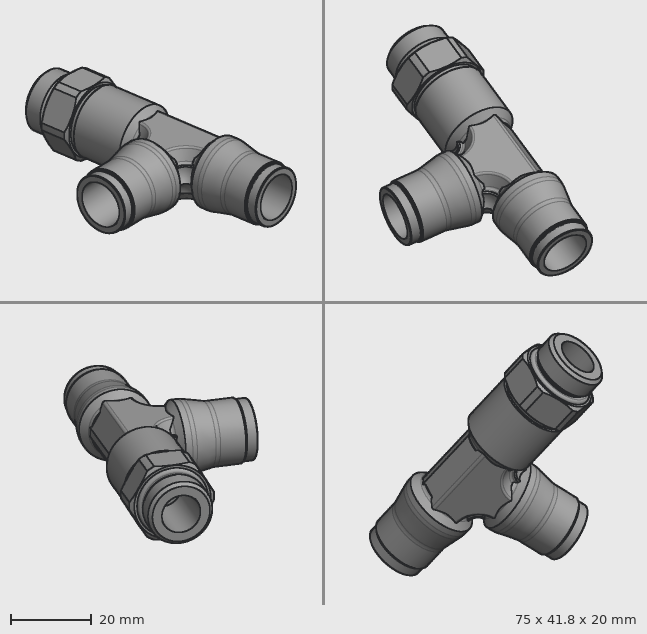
import cadquery as cq
import math


branch_x = 44.0
run_port_length = 31.0
branch_port_length = 30.8

body_half_height = 7.6
body_back = 7.5
back_ridge_y = 3.8
wall_slope = math.radians(60)
ridge_radius = 1.0
crotch_offset = 10.6
crotch_bar_radius = 1.6
crotch_bar_top_radius = 3.4
crotch_bar_half_height = 3.8
crotch_ledge_radius = 3.9
crotch_ledge_height = 4.0
crotch_foot_round = 0.9
crotch_edge_round = 0.75
crotch_top_radius = 7.45
cut_margin = 1.0

neck_radius = 7.4
shoulder_radius = 9.65
shoulder_blend = 1.5
shoulder_angle = math.radians(45)

collet_radius = 7.85
collet_length = 2.8
collet_chamfer = 0.2
collet_gap = 0.3
collet_gap_radius = 7.5
sleeve_end = 9.9
flare_blend_length = 1.2
flare_cone_length = 5.2
flare_angle = math.radians(12)
flare_blend_rise = flare_blend_length * math.tan(flare_angle / 2)
flare_cone_rise = flare_cone_length * math.tan(flare_angle)
sleeve_radius = shoulder_radius - flare_cone_rise - 2 * flare_blend_rise
sleeve_chamfer = 0.2
shoulder_edge = 19.25

body_start = 17.4
body_chamfer = 0.25
body_end = branch_x - 11.8
hex_start = 7.5
hex_end = 16.1
hex_sides = 6
hex_flats = 20.0
hex_corner_radius = 11.0
hex_crown_radius = 9.9
hex_crown_angle = math.radians(30)
spigot_radius = 8.35
spigot_chamfer = 0.9
spigot_end = 5.4
relief_radius = 7.6
relief_start = spigot_end + spigot_radius - relief_radius
relief_end = 6.6
seal_radius = 9.2
seal_round = hex_start - relief_end

through_diameter = 7.6
male_bore_diameter = 10.0
male_bore_depth = hex_end
tube_diameter = 12.1
tube_depth = 18.0


def revolve_about_x(profile):
    return profile.close().revolve(360, (0, 0, 0), (1, 0, 0))


def shoulder_profile(profile, edge, direction):
    """Continue a profile at the shoulder edge, down the cone to the neck and axis.

    direction is the sign of X from the shoulder toward the body.
    """
    cone_run = (shoulder_radius - neck_radius) / math.tan(shoulder_angle)
    corner = edge + direction * cone_run
    tangent = shoulder_blend * math.tan(shoulder_angle / 2)
    neck_start = corner + direction * tangent
    blend_start = corner - direction * tangent * math.cos(shoulder_angle)
    blend_start_radius = neck_radius + tangent * math.sin(shoulder_angle)
    return (
        profile
        .lineTo(blend_start, blend_start_radius)
        .tangentArcPoint((neck_start, neck_radius), relative=False)
        .lineTo(neck_start, 0)
    )


def push_in_port(length):
    """Port along +X with its collet face at X = length."""
    gap_start = length - collet_length
    gap_end = gap_start - collet_gap
    flare_start = length - sleeve_end
    cone_start = flare_start - flare_blend_length
    cone_end = cone_start - flare_cone_length
    cone_start_radius = sleeve_radius + flare_blend_rise
    cone_end_radius = cone_start_radius + flare_cone_rise
    profile = (
        cq.Workplane("XY")
        .moveTo(length, 0)
        .lineTo(length, collet_radius - collet_chamfer)
        .lineTo(length - collet_chamfer, collet_radius)
        .lineTo(gap_start, collet_radius)
        .lineTo(gap_start, collet_gap_radius)
        .lineTo(gap_end, collet_gap_radius)
        .lineTo(gap_end, sleeve_radius - sleeve_chamfer)
        .lineTo(gap_end - sleeve_chamfer, sleeve_radius)
        .lineTo(flare_start, sleeve_radius)
        .tangentArcPoint((cone_start, cone_start_radius), relative=False)
        .lineTo(cone_end, cone_end_radius)
        .tangentArcPoint((cone_end - flare_blend_length, shoulder_radius), relative=False)
        .lineTo(length - shoulder_edge, shoulder_radius)
    )
    return revolve_about_x(shoulder_profile(profile, length - shoulder_edge, -1))


def hexagon():
    """Nut hexagon with flats at +Z and -Z, its corners turned and crowned."""
    length = hex_end - hex_start
    across_corners = hex_flats / math.cos(math.pi / hex_sides)
    prism = (
        cq.Workplane("YZ", origin=(hex_start, 0, 0))
        .polygon(hex_sides, across_corners)
        .extrude(length)
    )
    crown_height = hex_corner_radius - hex_crown_radius
    crown_length = crown_height * math.tan(hex_crown_angle)
    envelope = revolve_about_x(
        cq.Workplane("XY")
        .moveTo(hex_start, 0)
        .lineTo(hex_start, hex_crown_radius)
        .lineTo(hex_start + crown_length, hex_corner_radius)
        .lineTo(hex_end - crown_length, hex_corner_radius)
        .lineTo(hex_end, hex_crown_radius)
        .lineTo(hex_end, 0)
    )
    return prism.intersect(envelope)


def male_end():
    """Spigot, seal and cylindrical body, all turned about X."""
    profile = (
        cq.Workplane("XY")
        .moveTo(0, 0)
        .lineTo(0, spigot_radius - spigot_chamfer)
        .lineTo(spigot_chamfer, spigot_radius)
        .lineTo(spigot_end, spigot_radius)
        .lineTo(relief_start, relief_radius)
        .lineTo(relief_end, relief_radius)
        .lineTo(relief_end, seal_radius - seal_round)
        .radiusArc((hex_start, seal_radius), seal_round)
        .lineTo(body_start - body_chamfer, seal_radius)
        .lineTo(body_start, shoulder_radius)
        .lineTo(body_end, shoulder_radius)
    )
    turned = revolve_about_x(shoulder_profile(profile, body_end, 1))
    return turned.union(hexagon())


def crotch_cutter(side):
    """Turned cutter that hollows the corner between run and side port."""
    top = body_half_height + cut_margin
    bar_depth = crotch_bar_top_radius - crotch_bar_radius
    bar_arc_radius = (bar_depth ** 2 + crotch_bar_half_height ** 2) / (2 * bar_depth)

    run_per_radius = math.sin(wall_slope)
    rise_per_radius = 1 - math.cos(wall_slope)
    wall_top_radius = crotch_top_radius - crotch_edge_round * run_per_radius
    wall_top_height = body_half_height - crotch_edge_round * rise_per_radius
    wall_foot_height = crotch_ledge_height + crotch_foot_round * rise_per_radius
    wall_run = (wall_top_height - wall_foot_height) / math.tan(wall_slope)
    wall_foot_radius = wall_top_radius - wall_run
    ledge_end_radius = wall_foot_radius - crotch_foot_round * run_per_radius

    upper_half = (
        cq.Workplane("XZ")
        .moveTo(0, 0)
        .lineTo(crotch_bar_radius, 0)
        .radiusArc((crotch_bar_top_radius, crotch_bar_half_height), -bar_arc_radius)
        .lineTo(crotch_ledge_radius, crotch_ledge_height)
        .lineTo(ledge_end_radius, crotch_ledge_height)
        .tangentArcPoint((wall_foot_radius, wall_foot_height), relative=False)
        .lineTo(wall_top_radius, wall_top_height)
        .tangentArcPoint((crotch_top_radius, body_half_height), relative=False)
        .lineTo(crotch_top_radius, top)
        .lineTo(0, top)
        .close()
        .revolve(360, (0, 0, 0), (0, 1, 0))
    )
    cutter = upper_half.union(upper_half.mirror("XY"))
    return cutter.translate((branch_x + side * crotch_offset, -crotch_offset, 0))


def centre_body():
    """Flat-sided block joining the three ends, sloped at the back."""
    back_drop = (body_back - back_ridge_y) * math.tan(wall_slope)
    back_half_height = body_half_height - back_drop
    block = (
        cq.Workplane("YZ", origin=(branch_x - crotch_offset, 0, 0))
        .moveTo(-crotch_offset, -body_half_height)
        .lineTo(back_ridge_y, -body_half_height)
        .lineTo(body_back, -back_half_height)
        .lineTo(body_back, back_half_height)
        .lineTo(back_ridge_y, body_half_height)
        .lineTo(-crotch_offset, body_half_height)
        .close()
        .extrude(2 * crotch_offset)
    )
    for height in (-body_half_height, body_half_height):
        ridge = cq.selectors.NearestToPointSelector((branch_x, back_ridge_y, height))
        block = block.edges("|X").edges(ridge).fillet(ridge_radius)
    for side in (-1, 1):
        block = block.cut(crotch_cutter(side))
    return block


def bore_along_x(diameter, start, end):
    return (
        cq.Workplane("YZ", origin=(start, 0, 0))
        .circle(diameter / 2)
        .extrude(end - start)
    )


def port_bore(length):
    """Flow passage and tube socket of a port along +X."""
    passage = bore_along_x(through_diameter, 0, length)
    return passage.union(bore_along_x(tube_diameter, length - tube_depth, length))


def place_run(shape):
    return shape.translate((branch_x, 0, 0))


def place_branch(shape):
    return place_run(shape.rotate((0, 0, 0), (0, 0, 1), -90))


result = (
    centre_body()
    .union(male_end())
    .union(place_run(push_in_port(run_port_length)))
    .union(place_branch(push_in_port(branch_port_length)))
    .cut(bore_along_x(through_diameter, 0, branch_x))
    .cut(bore_along_x(male_bore_diameter, 0, male_bore_depth))
    .cut(place_run(port_bore(run_port_length)))
    .cut(place_branch(port_bore(branch_port_length)))
)